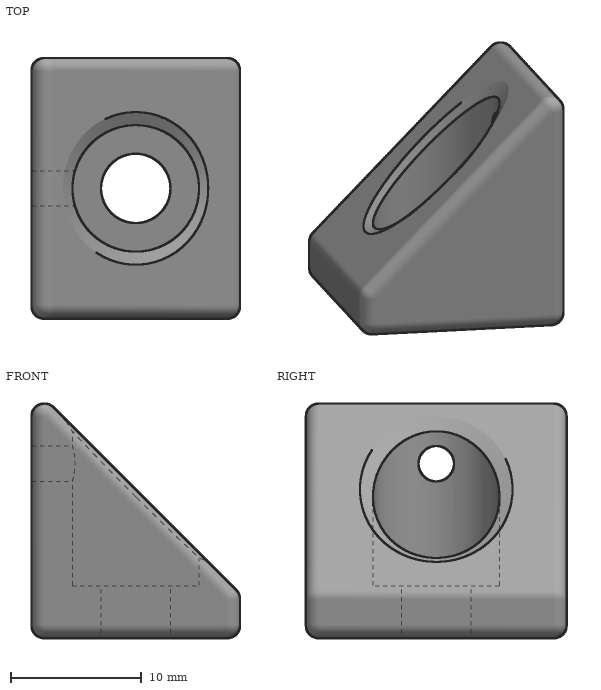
import cadquery as cq
import math

length_x = 16.0
width_y = 20.0
height_z = 18.0
edge_radius = 1.0

screw_diameter = 5.3
counterbore_diameter = 9.7
counterbore_floor_z = 4.0
rim_chamfer_width = 1.0
rim_chamfer_depth = 0.4

side_hole_diameter = 2.7
side_hole_z = 13.38

sharp_height = height_z + edge_radius * math.sqrt(2)
front_height = sharp_height - length_x

center_x = length_x / 2
center_y = width_y / 2


def rounded_wedge():
    profile = [(0, 0), (length_x, 0), (length_x, front_height), (0, sharp_height)]
    wedge = cq.Workplane("XZ").polyline(profile).close().extrude(-width_y)
    return wedge.edges().fillet(edge_radius)


def vertical_cylinder(diameter, bottom_z):
    base = cq.Workplane("XY", origin=(center_x, center_y, bottom_z))
    return base.circle(diameter / 2).extrude(sharp_height)


def cut_counterbore(body):
    body = body.cut(vertical_cylinder(counterbore_diameter, counterbore_floor_z))
    return body.edges("%ELLIPSE").chamfer(rim_chamfer_width, rim_chamfer_depth)


def side_hole():
    start = cq.Workplane("YZ", origin=(0, center_y, side_hole_z))
    return start.circle(side_hole_diameter / 2).extrude(center_x)


result = cut_counterbore(rounded_wedge())
result = result.cut(vertical_cylinder(screw_diameter, 0))
result = result.cut(side_hole())